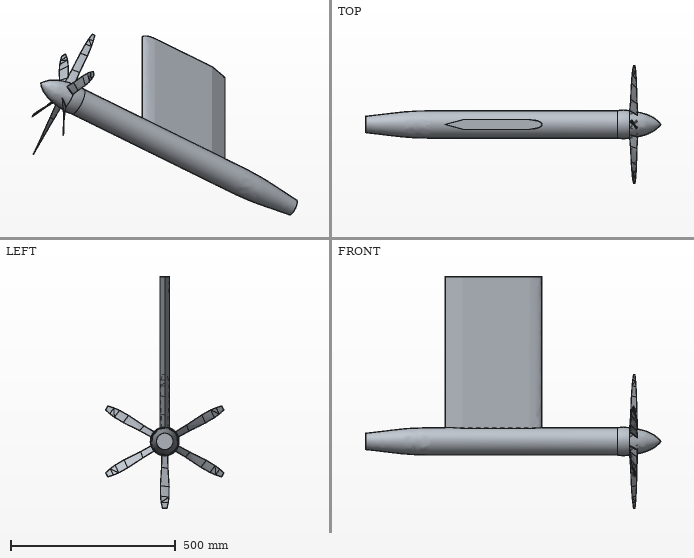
import cadquery as cq
import math


tail_radius = 25.0
cone_end_x = 76.0
cone_end_radius = 34.0
tube_start_x = 197.0
tube_radius = 42.0

ring_start_x = 764.0
ring_length = 36.0
ring_bulge = 2.0
ring_bulge_x = ring_start_x + 21.0

overall_length = 895.91
spinner_start_x = ring_start_x + ring_length
spinner_shoulder_x = spinner_start_x + 28.0
spinner_shoulder_radius = 37.5
spinner_front_x = spinner_start_x + 75.0
spinner_front_radius = 19.8

pylon_tail_x = 241.0
pylon_taper_length = 54.0
pylon_nose_start_x = 498.0
pylon_nose_length = 37.0
pylon_thickness = 29.0
pylon_top_z = 500.0

blade_count = 6
propeller_radius = 203.2
blade_root_radius = 25.0
blade_x = spinner_start_x + 12.0

blade_stations = [
    (blade_root_radius, 34.2, 53.5, 3.0, 0.5),
    (129.0, 31.5, 32.0, 2.4, 2.0),
    (178.0, 26.5, 24.0, 2.0, 2.5),
    (propeller_radius, 15.2, 18.0, 1.5, 3.0),
]


def revolve_about_x(profile):
    """Turn a closed half profile, drawn in XY, about the X axis."""
    return profile.close().revolve(360, (0, 0, 0), (1, 0, 0))


def make_nacelle():
    """Plain tube with a tangent round taper and then a straight cone towards the tail."""
    return revolve_about_x(
        cq.Workplane("XY")
        .moveTo(ring_start_x, 0)
        .lineTo(ring_start_x, tube_radius)
        .lineTo(tube_start_x, tube_radius)
        .tangentArcPoint((cone_end_x, cone_end_radius), relative=False)
        .lineTo(0, tail_radius)
        .lineTo(0, 0)
    )


def make_hub_ring():
    """Ring with a slightly bulged rim between the nacelle and the spinner."""
    return revolve_about_x(
        cq.Workplane("XY")
        .moveTo(ring_start_x, 0)
        .lineTo(ring_start_x, tube_radius)
        .threePointArc((ring_bulge_x, tube_radius + ring_bulge), (spinner_start_x, tube_radius))
        .lineTo(spinner_start_x, 0)
    )


def make_spinner():
    """Curved nose cone that narrows to a point."""
    return revolve_about_x(
        cq.Workplane("XY")
        .moveTo(spinner_start_x, 0)
        .lineTo(spinner_start_x, tube_radius)
        .spline([(spinner_shoulder_x, spinner_shoulder_radius),
                 (spinner_front_x, spinner_front_radius),
                 (overall_length, 0)],
                includeCurrent=True)
    )


def make_pylon(nacelle):
    """Extrude the pylon section up from the axis and seat it on the nacelle."""
    half = pylon_thickness / 2
    flat_start_x = pylon_tail_x + pylon_taper_length
    pylon = (
        cq.Workplane("XY")
        .moveTo(pylon_nose_start_x, half)
        .lineTo(flat_start_x, half)
        .lineTo(pylon_tail_x, 0)
        .lineTo(flat_start_x, -half)
        .lineTo(pylon_nose_start_x, -half)
        .ellipseArc(pylon_nose_length, half, -90, 90, startAtCurrent=True)
        .close()
        .extrude(pylon_top_z)
    )
    return pylon.cut(nacelle)


def blade_section(radius, chord, pitch, thickness, x_shift):
    """Lens-shaped section across the Z axis at the given radius."""
    along_x = math.sin(math.radians(pitch))
    along_y = -math.cos(math.radians(pitch))
    middle_x = blade_x + x_shift

    def point(chordwise, across):
        return cq.Vector(middle_x + chordwise * along_x - across * along_y,
                         chordwise * along_y + across * along_x,
                         radius)

    rear = point(-chord / 2, 0)
    front = point(chord / 2, 0)
    return cq.Wire.assembleEdges([
        cq.Edge.makeThreePointArc(rear, point(0, thickness / 2), front),
        cq.Edge.makeThreePointArc(front, point(0, -thickness / 2), rear),
    ])


def make_blades(ring, spinner):
    """Loft one twisted blade, seat its root on the hub, and copy it round the axis."""
    sections = [blade_section(*station) for station in blade_stations]
    blade = cq.Workplane(cq.Solid.makeLoft(sections)).cut(ring).cut(spinner)
    blades = []
    for index in range(blade_count):
        angle = index * 360 / blade_count
        blades.append(blade.rotate((0, 0, 0), (1, 0, 0), angle))
    return blades


nacelle = make_nacelle()
hub_ring = make_hub_ring()
spinner = make_spinner()
pylon = make_pylon(nacelle)
blades = make_blades(hub_ring, spinner)

result = cq.Compound.makeCompound(
    [nacelle.val(), hub_ring.val(), spinner.val(), pylon.val(), *[blade.val() for blade in blades]]
)